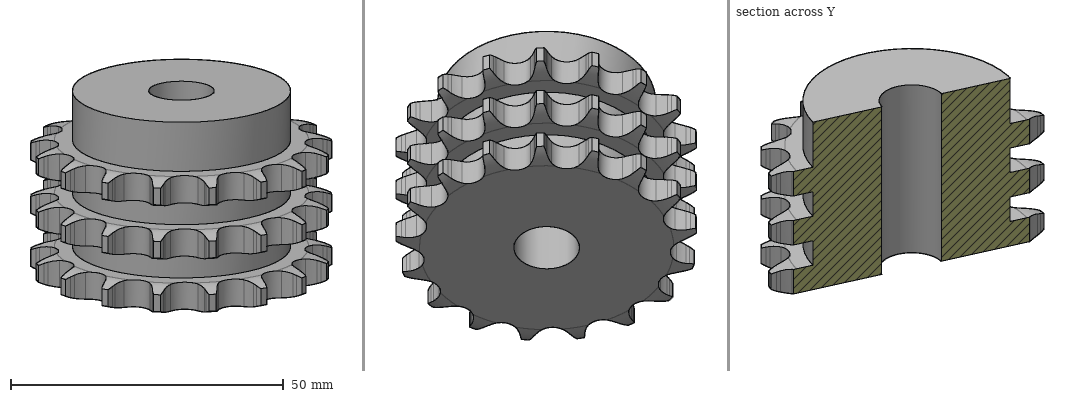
import math

import cadquery as cq


PITCH = 9.525
ROLLER_DIAMETER = 6.35
ROW_SPACING = 10.2
ROW_COUNT = 3

TOOTH_COUNT = 17
TIP_DIAMETER = 55.3
TOOTH_WIDTH = 5.2
RELIEF_RADIUS = 10.0
RELIEF_DEPTH = 1.0
FIRST_TOOTH_ANGLE = -90.0

HUB_DIAMETER = 40.0
BORE_DIAMETER = 12.0
TOTAL_HEIGHT = 35.0

TOOTH_ANGLE = 360.0 / TOOTH_COUNT
PITCH_RADIUS = PITCH / 2 / math.sin(math.radians(TOOTH_ANGLE / 2))
TIP_RADIUS = TIP_DIAMETER / 2

SEATING_CLEARANCE = 0.0381
SEATING_RADIUS = 0.5025 * ROLLER_DIAMETER + SEATING_CLEARANCE
SEATING_END_ANGLE = 35.0 + 60.0 / TOOTH_COUNT
WORKING_ARC_ANGLE = 18.0 - 56.0 / TOOTH_COUNT
WORKING_CENTER_DISTANCE = 0.8 * ROLLER_DIAMETER
WORKING_RADIUS = SEATING_RADIUS + WORKING_CENTER_DISTANCE
TOPPING_CENTER_DISTANCE = 1.4 * ROLLER_DIAMETER


def polar(radius, angle):
    """Point at a radius and an angle in degrees about the origin."""
    return (radius * math.cos(math.radians(angle)), radius * math.sin(math.radians(angle)))


def offset(point, distance, angle):
    """Point moved by a distance in a direction given in degrees."""
    dx, dy = polar(distance, angle)
    return (point[0] + dx, point[1] + dy)


def flank_points():
    """Right half of a tooth gap centred on +Y, from the gap root out to the tooth tip.

    The points are the ends and middles of the arcs in order: seating arc, concave
    working arc, straight flank, convex topping arc.
    """
    roller_center = (0.0, PITCH_RADIUS)
    root = offset(roller_center, SEATING_RADIUS, -90.0)
    seating_mid = offset(roller_center, SEATING_RADIUS, -(90.0 + SEATING_END_ANGLE) / 2)
    seating_end = offset(roller_center, SEATING_RADIUS, -SEATING_END_ANGLE)

    working_center = offset(roller_center, -WORKING_CENTER_DISTANCE, -SEATING_END_ANGLE)
    flank_normal = WORKING_ARC_ANGLE - SEATING_END_ANGLE
    working_mid = offset(working_center, WORKING_RADIUS, -SEATING_END_ANGLE + WORKING_ARC_ANGLE / 2)
    working_end = offset(working_center, WORKING_RADIUS, flank_normal)

    topping_center = offset(roller_center, TOPPING_CENTER_DISTANCE, -TOOTH_ANGLE / 2)
    normal_x, normal_y = polar(1.0, flank_normal)
    topping_radius = (
        (topping_center[0] - working_end[0]) * normal_x
        + (topping_center[1] - working_end[1]) * normal_y
    )
    topping_start = offset(topping_center, -topping_radius, flank_normal)

    center_radius = math.hypot(*topping_center)
    center_angle = math.degrees(math.atan2(topping_center[1], topping_center[0]))
    cos_spread = (TIP_RADIUS**2 + center_radius**2 - topping_radius**2) / (2 * TIP_RADIUS * center_radius)
    tip = polar(TIP_RADIUS, center_angle + math.degrees(math.acos(cos_spread)))

    start_angle = flank_normal + 180.0
    tip_angle = math.degrees(math.atan2(tip[1] - topping_center[1], tip[0] - topping_center[0]))
    topping_mid = offset(topping_center, topping_radius, (start_angle + tip_angle) / 2)

    return [root, seating_mid, seating_end, working_mid, working_end, topping_start, topping_mid, tip]


def gap_cutter():
    """Prism that cuts one tooth gap centred on +Y out of a disc."""
    flank = flank_points()
    root, seating_mid, seating_end, working_mid, working_end, topping_start, topping_mid, tip = flank
    outside = offset(tip, TIP_RADIUS - PITCH_RADIUS, 90.0)
    half_gap = (
        cq.Workplane("XY")
        .moveTo(*root)
        .threePointArc(seating_mid, seating_end)
        .threePointArc(working_mid, working_end)
        .lineTo(*topping_start)
        .threePointArc(topping_mid, tip)
        .lineTo(*outside)
        .lineTo(0, outside[1])
        .close()
        .extrude(TOOTH_WIDTH)
    )
    return half_gap.union(half_gap.mirror("YZ"))


def relieved_disc():
    """Disc whose rim is relieved on both faces by arcs tangent to the faces."""
    relief_start = TIP_RADIUS - math.sqrt(RELIEF_RADIUS**2 - (RELIEF_RADIUS - RELIEF_DEPTH) ** 2)
    relief_mid_angle = math.degrees(math.acos(1 - RELIEF_DEPTH / RELIEF_RADIUS)) / 2
    mid_radius = relief_start + RELIEF_RADIUS * math.sin(math.radians(relief_mid_angle))
    mid_depth = RELIEF_RADIUS * (1 - math.cos(math.radians(relief_mid_angle)))
    return (
        cq.Workplane("XZ")
        .lineTo(relief_start, 0)
        .threePointArc((mid_radius, mid_depth), (TIP_RADIUS, RELIEF_DEPTH))
        .lineTo(TIP_RADIUS, TOOTH_WIDTH - RELIEF_DEPTH)
        .threePointArc((mid_radius, TOOTH_WIDTH - mid_depth), (relief_start, TOOTH_WIDTH))
        .lineTo(0, TOOTH_WIDTH)
        .close()
        .revolve(360, (0, 0, 0), (0, 1, 0))
    )


def tooth_row():
    """One row of teeth, with its lower face at Z = 0."""
    row = relieved_disc()
    cutter = gap_cutter()
    first_gap_turn = FIRST_TOOTH_ANGLE + TOOTH_ANGLE / 2 - 90.0
    for index in range(TOOTH_COUNT):
        row = row.cut(cutter.rotate((0, 0, 0), (0, 0, 1), first_gap_turn + index * TOOTH_ANGLE))
    return row


def sprocket():
    """Hub carrying evenly spaced tooth rows, with a bore right through."""
    body = cq.Workplane("XY").circle(HUB_DIAMETER / 2).extrude(TOTAL_HEIGHT)
    row = tooth_row()
    for index in range(ROW_COUNT):
        body = body.union(row.translate((0, 0, index * ROW_SPACING)))
    bore = cq.Workplane("XY").circle(BORE_DIAMETER / 2).extrude(TOTAL_HEIGHT)
    return body.cut(bore)


result = sprocket()